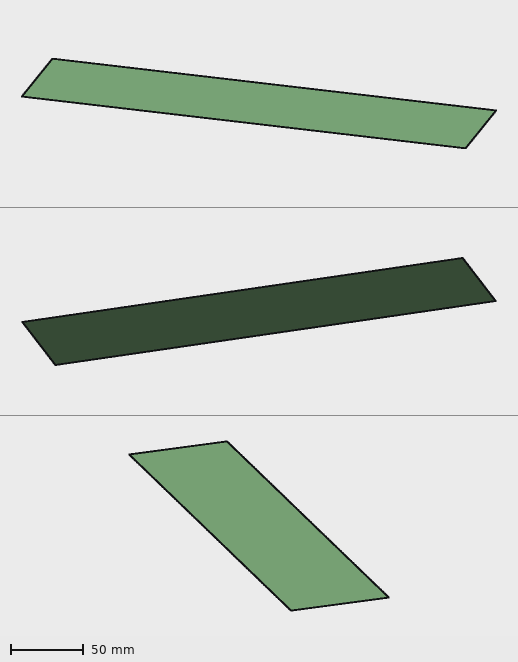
import cadquery as cq

plate_length = 320.0
plate_width = 72.0
plate_thickness = 0.1

result = cq.Workplane("XY").box(plate_length, plate_width, plate_thickness, centered=(True, True, False))